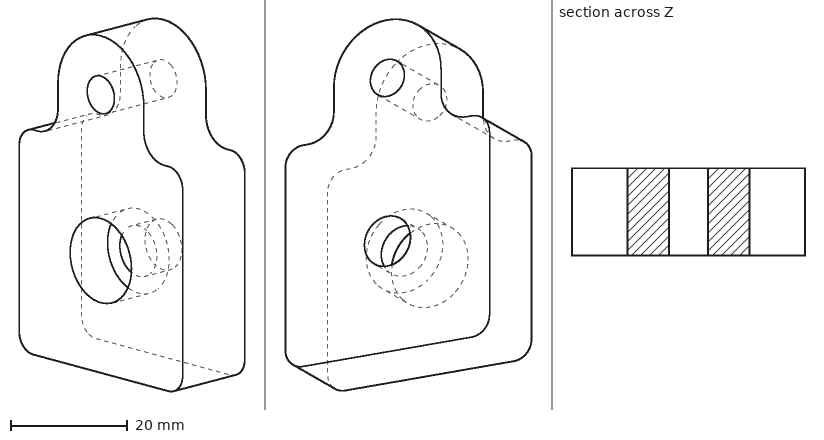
import cadquery as cq

thickness = 15.0
total_height = 60.0
body_size = total_height * 2 / 3
corner_radius = 3.5
head_radius = 10.5
neck_fillet_radius = 5.0
head_hole_diameter = 6.65
bore_diameter = 9.0
counterbore_diameter = 15.0
counterbore_depth = 9.0

head_center_z = total_height - head_radius
bore_center_z = body_size / 2


def plate(outline):
    """Extrude an XZ outline from the front face (Y = 0) to the back."""
    return outline.extrude(-thickness)


def cylinder_from_front(center_z, diameter, depth):
    """Cylinder along +Y starting on the front face."""
    return cq.Workplane("XZ").center(0, center_z).circle(diameter / 2).extrude(-depth)


body = plate(cq.Workplane("XZ").center(0, body_size / 2).rect(body_size, body_size))
body = body.edges("|Y").fillet(corner_radius)

flare_half_width = head_radius + neck_fillet_radius
flare_top_z = body_size + neck_fillet_radius
head = plate(
    cq.Workplane("XZ")
    .moveTo(-flare_half_width, bore_center_z)
    .lineTo(-flare_half_width, body_size)
    .radiusArc((-head_radius, flare_top_z), -neck_fillet_radius)
    .lineTo(-head_radius, head_center_z)
    .threePointArc((0, total_height), (head_radius, head_center_z))
    .lineTo(head_radius, flare_top_z)
    .radiusArc((flare_half_width, body_size), -neck_fillet_radius)
    .lineTo(flare_half_width, bore_center_z)
    .close()
)

result = (
    body.union(head)
    .cut(cylinder_from_front(head_center_z, head_hole_diameter, thickness))
    .cut(cylinder_from_front(bore_center_z, bore_diameter, thickness))
    .cut(cylinder_from_front(bore_center_z, counterbore_diameter, counterbore_depth))
)